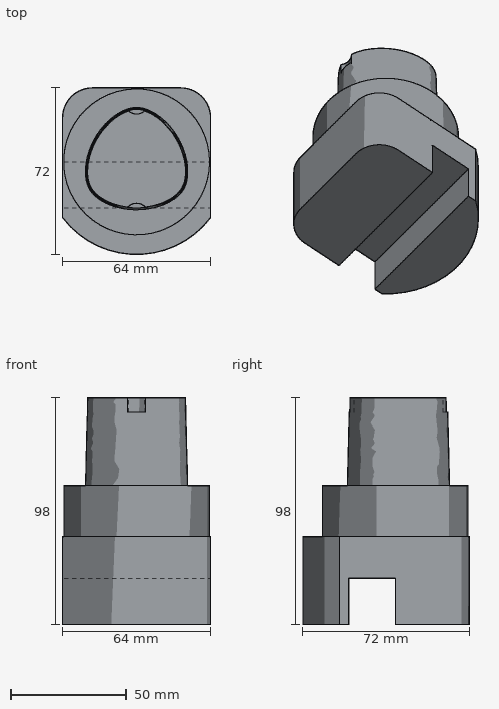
import cadquery as cq
import math

BASE_WIDTH = 64.0
BASE_HEIGHT = 38.0
BASE_REAR_Y = 32.0
BASE_FRONT_RADIUS = 40.0
BASE_CORNER_RADIUS = 13.0

SLOT_WIDTH = 20.0
SLOT_HEIGHT = 20.0
SLOT_REAR_Y = 0.0

FLANGE_DIAMETER = 62.98
FLANGE_HEIGHT = 22.0

SHANK_WIDTH = 44.2
SHANK_HEIGHT = 38.0
SHANK_TAPER = 1.0 / 20.0
LOBE_ECCENTRICITY = 1.4
SHANK_CURVE_POINTS = 48

NOTCH_WIDTH = 8.0
NOTCH_DEPTH = 1.9
NOTCH_HEIGHT = 6.2

FLANGE_BOTTOM_Z = BASE_HEIGHT
SHANK_BOTTOM_Z = FLANGE_BOTTOM_Z + FLANGE_HEIGHT
SHANK_TOP_Z = SHANK_BOTTOM_Z + SHANK_HEIGHT
SHANK_TIP_WIDTH = SHANK_WIDTH - SHANK_TAPER * SHANK_HEIGHT


def make_base():
    """Block with its slot, standing on Z = 0."""
    half_width = BASE_WIDTH / 2
    front_corner_y = -math.sqrt(BASE_FRONT_RADIUS**2 - half_width**2)
    block = (
        cq.Workplane("XY")
        .moveTo(-half_width, front_corner_y)
        .threePointArc((0, -BASE_FRONT_RADIUS), (half_width, front_corner_y))
        .lineTo(half_width, BASE_REAR_Y)
        .lineTo(-half_width, BASE_REAR_Y)
        .close()
        .extrude(BASE_HEIGHT)
        .edges("|Z and >Y")
        .fillet(BASE_CORNER_RADIUS)
    )
    slot = (
        cq.Workplane("XY")
        .center(0, SLOT_REAR_Y - SLOT_WIDTH / 2)
        .box(BASE_WIDTH, SLOT_WIDTH, SLOT_HEIGHT, centered=(True, True, False))
    )
    return block.cut(slot)


def make_flange():
    """Round disc between the base and the shank."""
    return (
        cq.Workplane("XY", origin=(0, 0, FLANGE_BOTTOM_Z))
        .circle(FLANGE_DIAMETER / 2)
        .extrude(FLANGE_HEIGHT)
    )


def polygon_point(width, angle):
    """Point of the three-lobed curve whose outward normal has the given angle from +Y.

    The tangent line lies at width / 2 + e * cos(3 * angle) from the axis,
    which keeps the width constant in every direction.
    """
    reach = width / 2 + LOBE_ECCENTRICITY * math.cos(3 * angle)
    slide = -3 * LOBE_ECCENTRICITY * math.sin(3 * angle)
    x = -reach * math.sin(angle) - slide * math.cos(angle)
    y = reach * math.cos(angle) - slide * math.sin(angle)
    return x, y


def polygon_points(width):
    """Points once around the curve, starting at the middle of the -Y flat."""
    step = 2 * math.pi / SHANK_CURVE_POINTS
    return [polygon_point(width, math.pi + i * step) for i in range(SHANK_CURVE_POINTS)]


def make_shank():
    """Tapered shank from its root on the flange to its tip."""
    return (
        cq.Workplane("XY", origin=(0, 0, SHANK_BOTTOM_Z))
        .spline(polygon_points(SHANK_WIDTH), periodic=True).wire()
        .workplane(offset=SHANK_HEIGHT)
        .spline(polygon_points(SHANK_TIP_WIDTH), periodic=True).wire()
        .loft(ruled=True)
    )


def make_notch(edge_y):
    """Cutter for a notch whose arc reaches NOTCH_DEPTH inward from edge_y at the tip."""
    radius = (NOTCH_WIDTH**2 / 4 + NOTCH_DEPTH**2) / (2 * NOTCH_DEPTH)
    centre_y = edge_y + math.copysign(radius - NOTCH_DEPTH, edge_y)
    return (
        cq.Workplane("XY", origin=(0, centre_y, SHANK_TOP_Z - NOTCH_HEIGHT))
        .circle(radius)
        .extrude(NOTCH_HEIGHT)
    )


shank = make_shank()
for tip_edge_y in (
    SHANK_TIP_WIDTH / 2 + LOBE_ECCENTRICITY,
    -SHANK_TIP_WIDTH / 2 + LOBE_ECCENTRICITY,
):
    shank = shank.cut(make_notch(tip_edge_y))

result = make_base().union(make_flange()).union(shank)